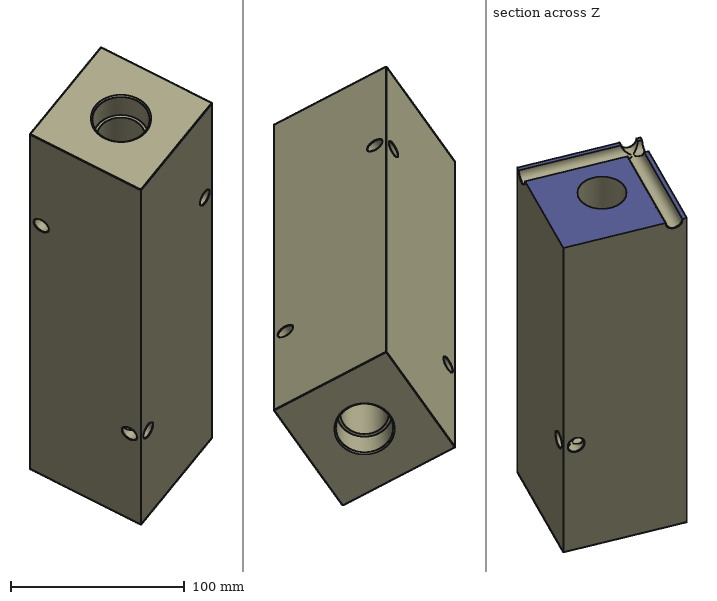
import cadquery as cq

length = 311.0
width = 76.2
edge_chamfer = 0.3

bore_diameter = 28.0
socket_mouth_diameter = 33.0
socket_floor_diameter = 31.7
socket_depth = 16.8
socket_chamfer = 1.0

cross_hole_diameter = 10.0
cross_hole_chamfer = 0.3
cross_hole_offset = 30.2
cross_hole_height = 76.0


def make_block():
    return cq.Workplane("XY").box(width, width, length).edges().chamfer(edge_chamfer)


def tapered_cut(face_plane, mouth_diameter, floor_diameter, depth):
    """Cone sunk into a face; the plane's normal points out of the block."""
    inward = -face_plane.zDir
    cone = cq.Solid.makeCone(mouth_diameter / 2, floor_diameter / 2, depth, face_plane.origin, inward)
    return cq.Workplane(obj=cone)


def countersink(face_plane, diameter, chamfer):
    """Cone that chamfers the mouth of a hole at 45 degrees."""
    return tapered_cut(face_plane, diameter + 2 * chamfer, diameter, chamfer)


def cut_bore(body):
    body = body.cut(cq.Workplane("XY").circle(bore_diameter / 2).extrude(length / 2, both=True))
    for end in (1, -1):
        face_plane = cq.Plane(origin=(0, 0, end * length / 2), xDir=(1, 0, 0), normal=(0, 0, end))
        body = body.cut(tapered_cut(face_plane, socket_mouth_diameter, socket_floor_diameter, socket_depth))
        body = body.cut(countersink(face_plane, socket_mouth_diameter, socket_chamfer))
    return body


def cut_cross_hole(body, entry_plane, exit_plane):
    body = body.cut(cq.Workplane(entry_plane).circle(cross_hole_diameter / 2).extrude(-width))
    for face_plane in (entry_plane, exit_plane):
        body = body.cut(countersink(face_plane, cross_hole_diameter, cross_hole_chamfer))
    return body


def cut_cross_holes(body):
    half = width / 2
    for side in (1, -1):
        height = side * cross_hole_height
        offset = side * cross_hole_offset
        front = cq.Plane(origin=(-offset, -half, height), xDir=(1, 0, 0), normal=(0, -1, 0))
        back = cq.Plane(origin=(-offset, half, height), xDir=(1, 0, 0), normal=(0, 1, 0))
        left = cq.Plane(origin=(-half, offset, height), xDir=(0, 1, 0), normal=(-1, 0, 0))
        right = cq.Plane(origin=(half, offset, height), xDir=(0, 1, 0), normal=(1, 0, 0))
        body = cut_cross_hole(body, front, back)
        body = cut_cross_hole(body, left, right)
    return body


result = cut_cross_holes(cut_bore(make_block()))